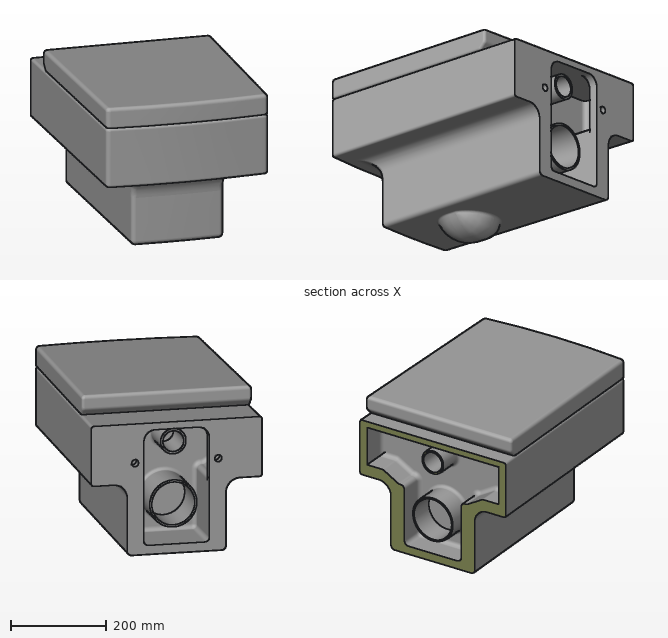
import cadquery as cq
import math


length = 540.0
rear_half_width = 185.0
side_taper = math.radians(0.8)
nose_radius = 1600.0
nose_center_x = length - nose_radius
plan_overrun = 40.0

housing_height = 285.0
shoulder_depth = 130.0
lower_half_width = 107.0
lower_length = 462.0
side_cove_radius = 30.0
nose_cove_radius = 50.0
vertical_edge_radius = 10.0
upper_edge_radius = 6.0
keel_edge_radius = 10.0
runout_layer = 1.0

cavity_half_width = 71.0
cavity_top = -15.0
cavity_bottom = -265.0
cavity_depth = 120.0
cavity_radius = 10.0
mouth_top_radius = 25.0
rear_wall = 20.0

pocket_floor = 5.0 - shoulder_depth
pocket_half_width = 165.0
ramp_angle = math.radians(30.0)
ramp_start_y = 85.5
ramp_end_y = 125.5
ramp_rise = (ramp_end_y - ramp_start_y) * math.tan(ramp_angle)

tubes = [(-50.0, 55.0, 45.0), (-185.0, 102.0, 92.95)]
tube_front_x = 30.0
tube_root_radius = 7.5

mount_hole_diameter = 15.0
mount_hole_y = 90.0
mount_hole_z = -85.0

dome_height = 43.09
dome_radius = 71.0
dome_rear_x = 280.0
dome_front_x = 299.0
dome_root_radius = 5.0
dome_inset = 1.0
dome_bottom_z = -housing_height - dome_height
dome_center_z = dome_bottom_z + dome_radius
dome_base_z = -housing_height + dome_inset
dome_half_width = math.sqrt(dome_radius**2 - (dome_base_z - dome_center_z) ** 2)

lid_thickness = 45.0
lid_rear_x = 86.5
lid_bevel = 15.0
lid_bevel_radius = 10.0
lid_top_radius = 8.0
lid_bottom_radius = 5.0
lid_rear_corner_radius = 6.0


def tapered_plate(half_width, z_bottom, z_top):
    """Plate whose sides close in toward the front at the taper angle."""
    front_x = length + plan_overrun
    front_half_width = half_width - front_x * math.tan(side_taper)
    return (
        cq.Workplane("XY", origin=(0, 0, z_bottom))
        .polyline([(0, -half_width), (front_x, -front_half_width), (front_x, front_half_width), (0, half_width)])
        .close()
        .extrude(z_top - z_bottom)
    )


def turned_about_nose_axis(profile):
    """Turn an open XZ profile, closed on itself, about the vertical axis of the curved nose."""
    return profile.close().revolve(360, (nose_center_x, 0, 0), (nose_center_x, 1, 0))


def nose_disc(z_bottom, z_top):
    """Disc that trims a plan outline to the curved nose."""
    return (
        cq.Workplane("XY", origin=(nose_center_x, 0, z_bottom))
        .circle(nose_radius)
        .extrude(z_top - z_bottom)
    )


def slice_between(body, z_bottom, z_top):
    """Part of a body that lies between two heights."""
    slab = cq.Workplane("XY", origin=(0, 0, z_bottom)).rect(4 * length, 4 * length).extrude(z_top - z_bottom)
    return body.intersect(slab)


def coved_block():
    """Upper and lower blocks with concave coves below the shoulder, corners still sharp."""
    upper = tapered_plate(rear_half_width, -shoulder_depth, 0)
    lower = tapered_plate(lower_half_width, -housing_height, -shoulder_depth)
    block = upper.union(lower)
    for side in (-1, 1):
        concave_edge = cq.selectors.BoxSelector(
            (0, side * (lower_half_width - side_cove_radius), -shoulder_depth - 1),
            (length, side * (lower_half_width + 1), -shoulder_depth + 1),
        )
        block = block.edges(concave_edge).fillet(side_cove_radius)
    cove_sag = nose_cove_radius * (1 - math.sqrt(0.5))
    nose = turned_about_nose_axis(
        cq.Workplane("XZ")
        .moveTo(nose_center_x, 0)
        .lineTo(length, 0)
        .lineTo(length, -shoulder_depth)
        .lineTo(lower_length + nose_cove_radius, -shoulder_depth)
        .threePointArc(
            (lower_length + cove_sag, -shoulder_depth - cove_sag),
            (lower_length, -shoulder_depth - nose_cove_radius),
        )
        .lineTo(lower_length, -housing_height)
        .lineTo(nose_center_x, -housing_height)
    )
    return block.intersect(nose)


def upper_block():
    block = tapered_plate(rear_half_width, -shoulder_depth, 0).intersect(nose_disc(-shoulder_depth, 0))
    block = block.edges("|Z").edges(">X").fillet(vertical_edge_radius)
    return block.faces("<Z or >Z").edges("not <X").fillet(upper_edge_radius)


def lower_block():
    """Lower block and coves. The corner rounding runs out just below the shoulder."""
    coved = coved_block()
    block = slice_between(coved, -housing_height, -shoulder_depth - runout_layer)
    corner_zone = cq.selectors.BoxSelector(
        (lower_length - 10, -rear_half_width, -housing_height + 1),
        (length, rear_half_width, -shoulder_depth - runout_layer - 1),
    )
    corners = block.edges(corner_zone).filter(lambda edge: abs(edge.Center().y) > lower_half_width / 2)
    block = corners.fillet(vertical_edge_radius)
    block = block.faces("<Z").edges("not <X").fillet(keel_edge_radius)
    return block.union(slice_between(coved, -shoulder_depth - runout_layer, -shoulder_depth))


def rear_cavity():
    """Cavity behind a rear mouth, widening at the top into side pockets with ramped floors."""
    mouth_height = cavity_top - cavity_bottom
    mouth = (
        cq.Workplane("YZ")
        .center(0, cavity_bottom + mouth_height / 2)
        .rect(2 * cavity_half_width, mouth_height)
        .extrude(rear_wall)
    )
    mouth = mouth.edges("|X and >Z").fillet(mouth_top_radius).edges("|X and <Z").fillet(cavity_radius)

    left_side = [
        (cavity_half_width, cavity_bottom),
        (cavity_half_width, pocket_floor),
        (ramp_start_y, pocket_floor),
        (ramp_end_y, pocket_floor + ramp_rise),
        (pocket_half_width, pocket_floor + ramp_rise),
        (pocket_half_width, cavity_top),
    ]
    right_side = [(-y, z) for y, z in reversed(left_side)]
    room = (
        cq.Workplane("YZ", origin=(rear_wall, 0, 0))
        .polyline(left_side + right_side)
        .close()
        .extrude(cavity_depth - rear_wall)
    )
    room = room.edges("|X and <Z").fillet(cavity_radius)
    lips = cq.selectors.BoxSelector(
        (rear_wall, -cavity_half_width - 1, pocket_floor - 1),
        (cavity_depth, cavity_half_width + 1, pocket_floor + 1),
    )
    room = room.edges(lips).edges("|X").fillet(cavity_radius)
    for side in (-1, 1):
        ramp_edges = cq.selectors.BoxSelector(
            (rear_wall, side * (ramp_start_y - 1), pocket_floor - 1),
            (cavity_depth, side * (ramp_end_y + 1), pocket_floor + ramp_rise + 1),
        )
        room = room.edges(ramp_edges).edges("|X").fillet(cavity_radius)
    room = room.faces(">X").edges("not >Z").fillet(cavity_radius)
    return mouth.union(room)


def tube(center_z, outer_diameter, inner_diameter):
    """Tube on the end wall with a concave fillet around its root."""
    outer_radius = outer_diameter / 2
    root_radius = outer_radius + tube_root_radius
    root_sag = tube_root_radius * (1 - math.sqrt(0.5))
    return (
        cq.Workplane("XY")
        .moveTo(tube_front_x, inner_diameter / 2)
        .lineTo(tube_front_x, outer_radius)
        .lineTo(cavity_depth - tube_root_radius, outer_radius)
        .threePointArc((cavity_depth - root_sag, outer_radius + root_sag), (cavity_depth, root_radius))
        .lineTo(cavity_depth + 1, root_radius)
        .lineTo(cavity_depth + 1, inner_diameter / 2)
        .close()
        .revolve(360, (0, 0, 0), (1, 0, 0))
        .translate((0, 0, center_z))
    )


def mounting_holes():
    return (
        cq.Workplane("YZ")
        .pushPoints([(-mount_hole_y, mount_hole_z), (mount_hole_y, mount_hole_z)])
        .circle(mount_hole_diameter / 2)
        .extrude(rear_wall)
    )


def dome_section(x):
    """Cross-section of the dome: the arc below its base line."""
    return (
        cq.Workplane("YZ", origin=(x, 0, 0))
        .moveTo(-dome_half_width, dome_base_z)
        .threePointArc((0, dome_bottom_z), (dome_half_width, dome_base_z))
        .close()
    )


def add_dome(body):
    """Add the dome below the body: spherical front, straight middle, rear turned about the base line."""
    middle = dome_section(dome_rear_x).extrude(dome_front_x - dome_rear_x)
    rear = dome_section(dome_rear_x).revolve(90, (0, dome_base_z), (1, dome_base_z))
    front_space = (
        cq.Workplane("XY", origin=(dome_front_x + dome_radius, 0, dome_base_z))
        .rect(2 * dome_radius, 2 * dome_radius)
        .extrude(-2 * dome_height)
    )
    ball = cq.Workplane("XY", origin=(dome_front_x, 0, dome_center_z)).sphere(dome_radius)
    dome = middle.union(rear).union(ball.intersect(front_space))
    rim = cq.selectors.BoxSelector(
        (dome_rear_x - dome_radius, -dome_radius, -housing_height - 0.1),
        (dome_front_x + dome_radius, dome_radius, -housing_height + 0.1),
    )
    return body.union(dome).edges(rim).fillet(dome_root_radius)


def make_housing():
    body = upper_block().union(add_dome(lower_block()))
    body = body.cut(rear_cavity()).cut(mounting_holes())
    for center_z, outer_diameter, inner_diameter in tubes:
        body = body.union(tube(center_z, outer_diameter, inner_diameter))
    return body


def make_lid():
    """Lid with the housing's plan outline, cut off square at the rear and bevelled under its rear edge."""
    plate = tapered_plate(rear_half_width, 0, lid_thickness).intersect(nose_disc(0, lid_thickness))
    plate = plate.edges("|Z").edges(">X").fillet(vertical_edge_radius)
    rear_profile = (
        cq.Workplane("XZ")
        .moveTo(lid_rear_x, lid_thickness)
        .lineTo(lid_rear_x, lid_bevel)
        .lineTo(lid_rear_x + lid_bevel, 0)
        .lineTo(length, 0)
        .lineTo(length, lid_thickness)
        .close()
        .extrude(rear_half_width, both=True)
    )
    plate = plate.intersect(rear_profile)
    plate = plate.edges("|Y").edges("<X").edges("<Z").fillet(lid_bevel_radius)
    plate = plate.edges("|Z").edges("<X").fillet(lid_rear_corner_radius)
    plate = plate.faces("<Z").edges().fillet(lid_bottom_radius)
    return plate.faces(">Z").edges().fillet(lid_top_radius)


housing = make_housing()
lid = make_lid()
result = cq.Compound.makeCompound([housing.val(), lid.val()])